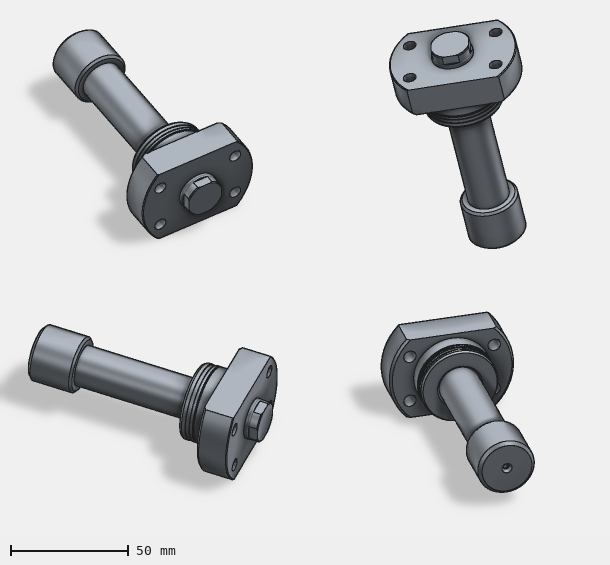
import cadquery as cq
import math


total_length = 105.0
head_radius = 12.5
head_length = 20.4
head_front_chamfer = 1.5
head_back_chamfer = 1.0
rod_radius = 9.0
shank_end = 101.0
shank_chamfer_length = 0.8
shank_chamfer_depth = 0.2

stub_radius = rod_radius - shank_chamfer_depth
stub_flat_distance = 8.1
stub_chamfer = 0.4
stub_length = total_length - shank_end

center_mouth_radius = 2.2
center_drill_radius = 1.3
center_half_angle = math.radians(30)
center_drill_depth = 2.6
center_tip_half_angle = math.radians(60)

collar_start = 72.5
collar_radius = 17.0
collar_chamfer_length = 1.0
collar_chamfer_depth = 0.6
groove_depth = 0.4
wide_groove_start = 75.2
wide_groove_width = 1.9
narrow_groove_start = 78.5
narrow_groove_width = 0.5
bore_chamfer = 0.9

flange_start = 84.9
flange_end = 98.9
flange_radius = 27.5
flange_height = 38.0
flange_front_chamfer = 1.0
flange_back_chamfer = 0.4

bolt_circle_radius = 21.5
bolt_angle = 30.0
bolt_hole_diameter = 5.5


def cylinder(start, end, radius):
    """Cylinder along X between two stations."""
    return cq.Workplane("YZ", origin=(start, 0, 0)).circle(radius).extrude(end - start)


def turned(points):
    """Solid of revolution about X from (x, radius) points."""
    return cq.Workplane("XY").polyline(points).close().revolve(360, (0, 0, 0), (1, 0, 0))


def make_center_hole():
    """Center-drilled hole: conical mouth, short pilot, pointed bottom."""
    cone_depth = (center_mouth_radius - center_drill_radius) / math.tan(center_half_angle)
    tip_length = center_drill_radius / math.tan(center_tip_half_angle)
    return turned([
        (0, 0),
        (0, center_mouth_radius),
        (cone_depth, center_drill_radius),
        (center_drill_depth, center_drill_radius),
        (center_drill_depth + tip_length, 0),
    ])


def make_stub():
    """Round stub with chamfered end and four wrench flats."""
    stub = cylinder(shank_end, total_length, stub_radius).faces(">X").chamfer(stub_chamfer)
    square = (
        cq.Workplane("YZ", origin=(shank_end, 0, 0))
        .rect(2 * stub_flat_distance, 2 * stub_flat_distance)
        .extrude(stub_length)
    )
    return stub.intersect(square)


def make_rod():
    body = turned([
        (0, 0),
        (0, head_radius - head_front_chamfer),
        (head_front_chamfer, head_radius),
        (head_length - head_back_chamfer, head_radius),
        (head_length, head_radius - head_back_chamfer),
        (head_length, rod_radius),
        (shank_end - shank_chamfer_length, rod_radius),
        (shank_end, rod_radius - shank_chamfer_depth),
        (shank_end, 0),
    ])
    return body.union(make_stub()).cut(make_center_hole())


def make_groove(start, width):
    """Ring that cuts a shallow groove around the collar."""
    ring = cylinder(start, start + width, collar_radius + groove_depth)
    return ring.cut(cylinder(start, start + width, collar_radius - groove_depth))


def make_flange():
    plate = (
        cylinder(flange_start, flange_end, flange_radius)
        .faces("<X").chamfer(flange_front_chamfer)
        .faces(">X").chamfer(flange_back_chamfer)
    )
    flats = (
        cq.Workplane("YZ", origin=(flange_start, 0, 0))
        .rect(2 * flange_radius, flange_height)
        .extrude(flange_end - flange_start)
    )
    collar = turned([
        (collar_start, 0),
        (collar_start, collar_radius - collar_chamfer_depth),
        (collar_start + collar_chamfer_length, collar_radius),
        (flange_start, collar_radius),
        (flange_start, 0),
    ])
    flange = plate.intersect(flats).union(collar)

    flange = flange.cut(make_groove(wide_groove_start, wide_groove_width))
    flange = flange.cut(make_groove(narrow_groove_start, narrow_groove_width))

    bore = cylinder(collar_start, flange_end, rod_radius)
    mouth = turned([
        (collar_start, 0),
        (collar_start, rod_radius + bore_chamfer),
        (collar_start + bore_chamfer, rod_radius),
        (collar_start + bore_chamfer, 0),
    ])
    flange = flange.cut(bore).cut(mouth)

    bolt_y = bolt_circle_radius * math.cos(math.radians(bolt_angle))
    bolt_z = bolt_circle_radius * math.sin(math.radians(bolt_angle))
    bolt_holes = (
        cq.Workplane("YZ", origin=(flange_start, 0, 0))
        .rect(2 * bolt_y, 2 * bolt_z, forConstruction=True)
        .vertices()
        .circle(bolt_hole_diameter / 2)
        .extrude(flange_end - flange_start)
    )
    return flange.cut(bolt_holes)


rod = make_rod()
flange = make_flange()
result = cq.Compound.makeCompound([rod.val(), flange.val()])